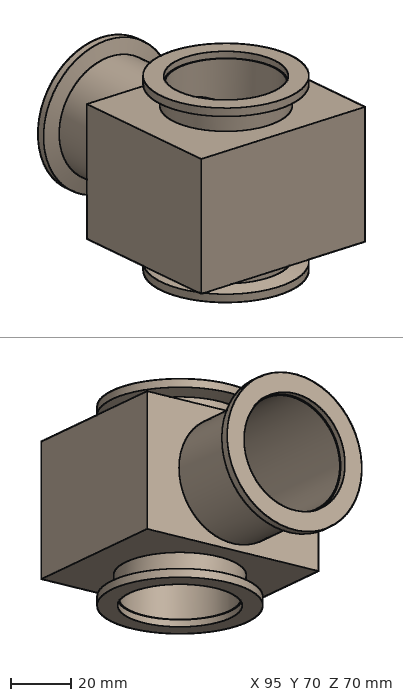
import cadquery as cq

total_length = 95.0
total_height = 70.0

block_length = 60.0
block_width = total_height
block_height = 48.5

flange_diameter = 55.0
tube_diameter = 44.0
bore_diameter = 40.5
rim_thickness = 3.0
taper_length = 1.4
recess_diameter = 41.2
recess_depth = 2.5

side_reach = total_length - block_length / 2
vertical_reach = total_height / 2


def port_plane(direction):
    """Plane through the axis crossing, facing out along the port."""
    return cq.Plane(origin=(0, 0, 0), xDir=(0, 1, 0), normal=direction)


def port_body(direction, reach):
    """Solid tube ending in a flange with a tapered back."""
    flange_radius = flange_diameter / 2
    tube_radius = tube_diameter / 2
    rim_back = reach - rim_thickness
    profile = (
        cq.Workplane("XZ")
        .moveTo(0, 0)
        .lineTo(tube_radius, 0)
        .lineTo(tube_radius, rim_back - taper_length)
        .lineTo(flange_radius, rim_back)
        .lineTo(flange_radius, reach)
        .lineTo(0, reach)
        .close()
    )
    body = profile.revolve(360, (0, 0, 0), (0, 1, 0))
    return cq.Workplane(body.val().moved(cq.Location(port_plane(direction))))


def port_bore(direction, reach):
    """Bore from the axis crossing outward, with a shallow recess at the face."""
    plane = port_plane(direction)
    bore = cq.Workplane(plane).circle(bore_diameter / 2).extrude(reach)
    recess = (
        cq.Workplane(plane)
        .workplane(offset=reach - recess_depth)
        .circle(recess_diameter / 2)
        .extrude(recess_depth)
    )
    return bore.union(recess)


ports = [
    ((-1, 0, 0), side_reach),
    ((0, 0, 1), vertical_reach),
    ((0, 0, -1), vertical_reach),
]

result = cq.Workplane("XY").box(block_length, block_width, block_height)
for direction, reach in ports:
    result = result.union(port_body(direction, reach))

for direction, reach in ports:
    result = result.cut(port_bore(direction, reach))